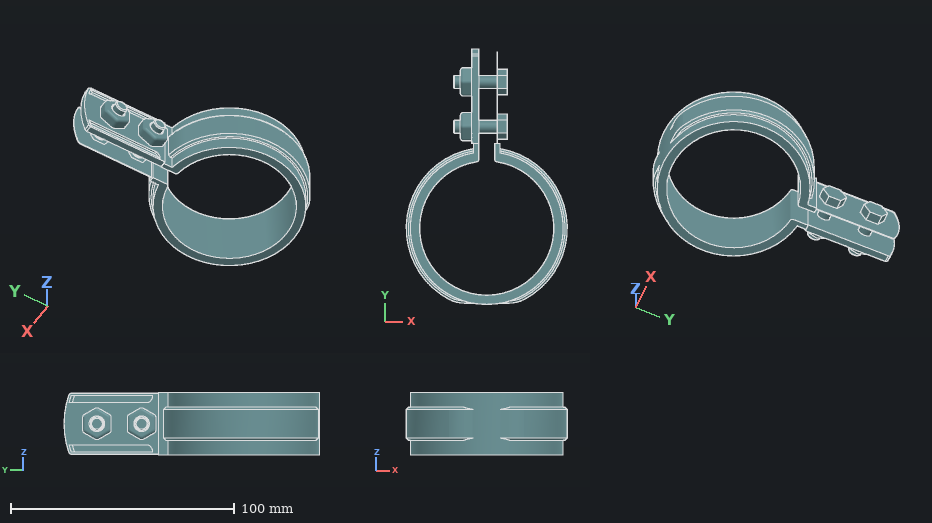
import cadquery as cq
import math

ring_inner_radius = 30.0
ring_outer_radius = 34.2
collar_height = 28.0
gap_half_width = 3.5
gap_corner_radius = 1.0
lug_thickness = 2.4
lug_end_y = 38.0
lug_outer_x = gap_half_width + lug_thickness

band_diameter = 72.2
band_radius = band_diameter / 2
band_height = 14.9
band_chamfer = 1.0
band_flat_y = -33.6
band_blend_radius = 14.6

plate_inner_x = -gap_half_width
plate_thickness = 3.2
plate_outer_x = plate_inner_x - plate_thickness
plate_half_height = 13.7
plate_tip_y = 80.2
plate_end_radius = 39.8
plate_corner_chamfer = 0.7
strip_half_height = 12.7
strip_tip_y = 78.9
strip_corner_radius = 1.4
strip_end_radius = 32.0
strip_thickness = 0.3
strip_inner_x = gap_half_width + lug_thickness / 2 - strip_thickness / 2
strip_outer_x = strip_inner_x + strip_thickness

groove_depth = 1.0
groove_margin = 1.1
groove_outer_z = plate_half_height - groove_margin
groove_width = 3.1
groove_inner_z = groove_outer_z - groove_width
groove_start_y = 40.5
groove_start_radius = 3.4
groove_ramp_length = 1.4
groove_end_center_y = plate_tip_y - plate_end_radius
groove_end_radius = plate_end_radius - groove_margin

bolt_positions_y = [45.4, 65.5]
bolt_diameter = 6.0
bolt_tip_diameter = 4.9
bolt_tip_x = -15.0
bolt_tip_chamfer = (bolt_diameter - bolt_tip_diameter) / 2
head_thickness = 4.3
head_across_flats = 10.0
nut_thickness = 5.2
nut_across_flats = 12.8
nut_bore_diameter = 7.0
nut_corner_radius = 1.7
nut_rim_radius = 1.5


def across_corners(across_flats):
    """Corner-to-corner width of a hexagon."""
    return across_flats / math.cos(math.radians(30))


def make_band():
    """Solid band blank with a flat at -Y, blended into the round by tangent arcs."""
    blend_center_y = band_flat_y + band_blend_radius
    center_distance = band_radius - band_blend_radius
    blend_center_x = math.sqrt(center_distance**2 - blend_center_y**2)
    tangent_x = blend_center_x * band_radius / center_distance
    tangent_y = blend_center_y * band_radius / center_distance
    middle_angle = math.atan2(blend_center_x, -blend_center_y) / 2
    middle_x = blend_center_x + band_blend_radius * math.sin(middle_angle)
    middle_y = blend_center_y - band_blend_radius * math.cos(middle_angle)
    return (
        cq.Workplane("XY")
        .workplane(offset=-band_height / 2)
        .moveTo(-blend_center_x, band_flat_y)
        .lineTo(blend_center_x, band_flat_y)
        .threePointArc((middle_x, middle_y), (tangent_x, tangent_y))
        .threePointArc((0, band_radius), (-tangent_x, tangent_y))
        .threePointArc((-middle_x, middle_y), (-blend_center_x, band_flat_y))
        .close()
        .extrude(band_height)
        .faces("|Z")
        .edges()
        .chamfer(band_chamfer)
    )


def upper_block(half_width):
    """Full-height block from the ring axis out to the lug ends."""
    return cq.Workplane("XY").box(2 * half_width, lug_end_y, collar_height).translate((0, lug_end_y / 2, 0))


def make_collar():
    ring = cq.Workplane("XY").circle(ring_outer_radius).extrude(collar_height / 2, both=True)
    lugs = upper_block(lug_outer_x)
    bore = cq.Workplane("XY").circle(ring_inner_radius).extrude(collar_height / 2, both=True)
    gap = upper_block(gap_half_width)
    collar = ring.union(make_band()).union(lugs).cut(bore).cut(gap)
    corner_y = math.sqrt(ring_inner_radius**2 - gap_half_width**2)
    for x in (-gap_half_width, gap_half_width):
        collar = collar.edges(cq.selectors.NearestToPointSelector((x, corner_y, 0))).fillet(gap_corner_radius)
    return collar


def make_tongue(start_x, thickness, half_height, tip_y, end_radius):
    """Flat tongue from the lug end to a bowed tip, with both bolt holes."""
    corner_y = tip_y - end_radius + math.sqrt(end_radius**2 - half_height**2)
    tongue = (
        cq.Workplane("YZ")
        .workplane(offset=start_x)
        .moveTo(lug_end_y, -half_height)
        .lineTo(corner_y, -half_height)
        .threePointArc((tip_y, 0), (corner_y, half_height))
        .lineTo(lug_end_y, half_height)
        .close()
        .extrude(thickness)
    )
    holes = (
        cq.Workplane("YZ")
        .workplane(offset=start_x)
        .pushPoints([(y, 0) for y in bolt_positions_y])
        .circle(bolt_diameter / 2)
        .extrude(thickness)
    )
    return tongue.cut(holes)


def tip_corners(tongue):
    """Edges through the thickness at the two outer corners of the bowed end."""
    return tongue.edges("|X").edges(">Y")


def make_groove():
    """Cutter for the upper groove: rounded start, and a ramp out of the floor at the bowed end."""
    start_center_y = groove_start_y + groove_start_radius
    start_inner_y = start_center_y - math.sqrt(groove_start_radius**2 - groove_width**2)
    middle_angle = math.asin(groove_width / groove_start_radius) / 2
    start_middle_y = start_center_y - groove_start_radius * math.cos(middle_angle)
    start_middle_z = groove_outer_z - groove_start_radius * math.sin(middle_angle)
    strip = (
        cq.Workplane("YZ")
        .workplane(offset=plate_outer_x)
        .moveTo(groove_start_y, groove_outer_z)
        .threePointArc((start_middle_y, start_middle_z), (start_inner_y, groove_inner_z))
        .lineTo(plate_tip_y, groove_inner_z)
        .lineTo(plate_tip_y, groove_outer_z)
        .close()
        .extrude(groove_depth)
    )
    ramped_disc = (
        cq.Workplane("YZ")
        .workplane(offset=plate_outer_x)
        .center(groove_end_center_y, 0)
        .circle(groove_end_radius)
        .workplane(offset=groove_depth)
        .circle(groove_end_radius - groove_ramp_length)
        .loft()
    )
    return strip.intersect(ramped_disc)


def make_plate():
    """Clamp plate with chamfered tip corners and a mirrored pair of grooves."""
    plate = make_tongue(plate_outer_x, plate_thickness, plate_half_height, plate_tip_y, plate_end_radius)
    plate = tip_corners(plate).chamfer(plate_corner_chamfer)
    groove = make_groove()
    return plate.cut(groove).cut(groove.mirror("XY"))


def make_strip():
    strip = make_tongue(strip_inner_x, strip_thickness, strip_half_height, strip_tip_y, strip_end_radius)
    return tip_corners(strip).fillet(strip_corner_radius)


def make_bolt(y):
    shank = (
        cq.Workplane("YZ")
        .workplane(offset=bolt_tip_x)
        .center(y, 0)
        .circle(bolt_diameter / 2)
        .extrude(strip_outer_x - bolt_tip_x)
        .faces("<X")
        .chamfer(bolt_tip_chamfer)
    )
    head = (
        cq.Workplane("YZ")
        .workplane(offset=strip_outer_x)
        .center(y, 0)
        .polygon(6, across_corners(head_across_flats))
        .extrude(head_thickness)
    )
    return shank.union(head)


def make_nut(y):
    """Hexagonal nut with its corners along Z and its outer rim rounded."""
    blank = (
        cq.Workplane("YZ")
        .polygon(6, across_corners(nut_across_flats))
        .extrude(-nut_thickness)
        .rotate((0, 0, 0), (1, 0, 0), 30)
        .edges("|X")
        .fillet(nut_corner_radius)
        .faces("<X")
        .edges()
        .fillet(nut_rim_radius)
    )
    bore = cq.Workplane("YZ").circle(nut_bore_diameter / 2).extrude(-nut_thickness)
    return blank.cut(bore).translate((plate_outer_x, y, 0))


collar = make_collar()
plate = make_plate()
strip = make_strip()
bolts = [make_bolt(y) for y in bolt_positions_y]
nuts = [make_nut(y) for y in bolt_positions_y]

result = cq.Compound.makeCompound(
    [collar.val(), plate.val(), strip.val()]
    + [bolt.val() for bolt in bolts]
    + [nut.val() for nut in nuts]
)